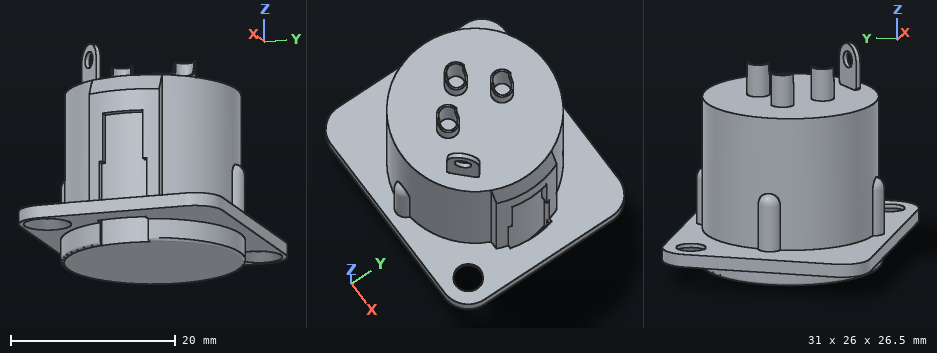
import cadquery as cq
import math


flange_bottom = 2.8
flange_top = 4.4
body_top = 21.0
pin_top = 25.0
tab_top = 26.5

flange_length = 31.0
flange_width = 26.0
flange_corner_radius = 3.5
mount_hole_diameter = 3.6
mount_hole_wall = 0.5
mount_hole_x = 12.0
mount_hole_y = 9.5

body_radius = 10.75
collar_radius = 11.25
collar_edge_radius = 0.4

rib_radius = 1.4
rib_offset = 10.35
rib_dome_base = 10.15
rib_angles = (90, 180, 270)

pad_radius = 11.78
pad_width = 9.0
pad_slope_bottom = 18.97
slot_outer_radius = 12.2
slot_width = 6.15
slot_top = 10.3
window_width = 5.15
window_top = 16.3

pin_radius = 1.4
pin_bore_radius = 1.15
pin_offset = 4.03
pin_angles = (90, 180, 270)
notch_start_x = -0.15
notch_depth = 2.15
notch_radius = 1.5

tab_center_x = 5.95
tab_center_y = -5.95
tab_angle = 45
tab_width = 4.0
tab_thickness = 0.6
tab_hole_diameter = 2.0
tab_foot_chamfer = 0.3


def cylinder(radius, bottom, top):
    return cq.Workplane("XY").workplane(offset=bottom).circle(radius).extrude(top - bottom)


def polar_point(radius, angle):
    return radius * math.cos(math.radians(angle)), radius * math.sin(math.radians(angle))


def x_side_band(width, bottom, top):
    """Block on the +X side, centred on Y, that trims round shapes to a width."""
    height = top - bottom
    block = cq.Workplane("XY").box(flange_length, width, height, centered=(False, True, False))
    return block.translate((0, 0, bottom))


def make_mount_hole(x, y):
    """Straight hole from the top that opens into a 90 degree countersink on the underside."""
    hole_radius = mount_hole_diameter / 2
    sink_depth = flange_top - flange_bottom - mount_hole_wall
    sink_top = flange_bottom + sink_depth
    profile = [
        (0, flange_bottom),
        (hole_radius + sink_depth, flange_bottom),
        (hole_radius, sink_top),
        (hole_radius, flange_top),
        (0, flange_top),
    ]
    hole = cq.Workplane("XZ").polyline(profile).close().revolve(360, (0, 0, 0), (0, 1, 0))
    return hole.translate((x, y, 0))


def make_flange():
    plate = (
        cq.Workplane("XY")
        .workplane(offset=flange_bottom)
        .rect(flange_length, flange_width)
        .extrude(flange_top - flange_bottom)
        .edges("|Z")
        .fillet(flange_corner_radius)
    )
    for side in (-1, 1):
        plate = plate.cut(make_mount_hole(side * mount_hole_x, -side * mount_hole_y))
    return plate


def make_collar():
    return cylinder(collar_radius, 0, flange_bottom).faces("<Z").edges().fillet(collar_edge_radius)


def make_rib(angle):
    x, y = polar_point(rib_offset, angle)
    dome = cq.Workplane("XY").sphere(rib_radius).translate((0, 0, rib_dome_base))
    return cylinder(rib_radius, flange_bottom, rib_dome_base).union(dome).translate((x, y, 0))


def make_latch_pad():
    """Raised strip whose top slopes back to the body wall."""
    profile = [
        (0, flange_bottom),
        (pad_radius, flange_bottom),
        (pad_radius, pad_slope_bottom),
        (body_radius, body_top),
        (0, body_top),
    ]
    turned = cq.Workplane("XZ").polyline(profile).close().revolve(360, (0, 0, 0), (0, 1, 0))
    return turned.intersect(x_side_band(pad_width, flange_bottom, body_top))


def make_latch_slot():
    """Curved slot outside the body wall, open below, with a narrower window above it."""
    ring = cylinder(slot_outer_radius, 0, window_top).cut(cylinder(body_radius, 0, window_top))
    lower = ring.intersect(x_side_band(slot_width, 0, slot_top))
    upper = ring.intersect(x_side_band(window_width, 0, window_top))
    return lower.union(upper)


def make_pin(angle):
    """Hollow pin whose +X side is cut away near the top."""
    notch_floor = pin_top - notch_depth
    notch = (
        cq.Workplane("XZ")
        .moveTo(notch_start_x, pin_top)
        .lineTo(notch_start_x, notch_floor + notch_radius)
        .radiusArc((notch_start_x + notch_radius, notch_floor), -notch_radius)
        .lineTo(2 * pin_radius, notch_floor)
        .lineTo(2 * pin_radius, pin_top)
        .close()
        .extrude(pin_radius, both=True)
    )
    tube = cylinder(pin_radius, body_top, pin_top).cut(cylinder(pin_bore_radius, body_top, pin_top))
    x, y = polar_point(pin_offset, angle)
    return tube.cut(notch).translate((x, y, 0))


def make_ground_tab():
    """Thin upright tab with a round end, a concentric eye and a chamfered foot."""
    half_width = tab_width / 2
    eye_height = tab_top - half_width
    foot_half_width = half_width - tab_foot_chamfer
    return (
        cq.Workplane("XZ")
        .moveTo(-foot_half_width, body_top)
        .lineTo(-half_width, body_top + tab_foot_chamfer)
        .lineTo(-half_width, eye_height)
        .threePointArc((0, tab_top), (half_width, eye_height))
        .lineTo(half_width, body_top + tab_foot_chamfer)
        .lineTo(foot_half_width, body_top)
        .close()
        .moveTo(0, eye_height)
        .circle(tab_hole_diameter / 2)
        .extrude(tab_thickness / 2, both=True)
        .rotate((0, 0, 0), (0, 0, 1), tab_angle)
        .translate((tab_center_x, tab_center_y, 0))
    )


result = make_flange().union(make_collar()).union(cylinder(body_radius, flange_bottom, body_top))
for rib_angle in rib_angles:
    result = result.union(make_rib(rib_angle))
result = result.union(make_latch_pad()).cut(make_latch_slot())
for pin_angle in pin_angles:
    result = result.union(make_pin(pin_angle))
result = result.union(make_ground_tab())